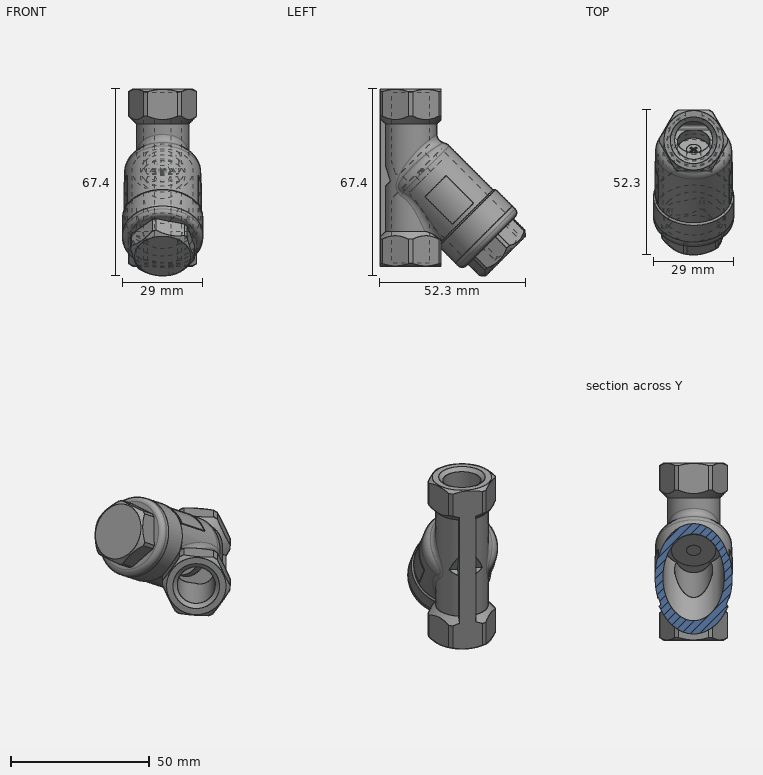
import cadquery as cq
import math

PIPE_LENGTH = 64.0
PIPE_RADIUS = 9.5
NUT_HEIGHT = 12.6
NUT_FLATS = 22.0
NUT_CORNER_RADIUS = 12.25
NUT_FACE_RADIUS = 10.7
NUT_FACE_CHAMFER_HEIGHT = 1.0
BORE_RADIUS = 6.85
BORE_MOUTH_RADIUS = 8.4
BORE_MOUTH_DEPTH = 1.3

RIB_WIDTH = 6.0
RIB_OVERLAP = 2.0
RECESS_BOTTOM_Y = 7.3
RECESS_BOTTOM_Z = -1.3
RECESS_RISE = 3.2
RECESS_OUTER_Y = 12.0

BRANCH_CROSSING_Z = 5.9
BRANCH_RADIUS = 13.75
BRANCH_START = 1.4
BRANCH_NOSE_FILLET = 4.5
JUNCTION_FILLET = 3.0
COLLAR_START = 28.25
COLLAR_CHAMFER_LENGTH = 0.6
COLLAR_RADIUS = 14.5
CAP_START = 37.3
CAVITY_RADIUS = 11.0

PAD_LENGTH = 14.0
PAD_WIDTH = 10.75
PAD_CENTRE = 19.7
PAD_RADIUS = 14.0

SEAT_FACE = 0.47
SEAT_RADIUS = 5.83
SEAT_DEPTH = 4.2
SEAT_EDGE_Y = 3.75
LEDGE_END_Y = 5.3
LEDGE_ANGLE = 22.5
CHAMBER_FILLET = 1.0

DISC_RADIUS = 8.0
DISC_THICKNESS = 3.0
SCREW_RADIUS = 2.6
CROSS_LENGTH = 3.0
CROSS_WIDTH = 0.6
CROSS_DEPTH = 1.0
CROSS_ANGLES = (45, 135)

CAP_SHOULDER = 40.8
CAP_FILLET = 2.0
CAP_END = 48.32
CAP_HEX_FLATS = 21.1
CAP_HEX_CORNER_RADIUS = 11.8
CAP_HEX_FACE_RADIUS = 10.1
CAP_HEX_TURN = 45.0

HALF_LENGTH = PIPE_LENGTH / 2
NUT_LOWER_SLOPE = NUT_CORNER_RADIUS - PIPE_RADIUS
DISC_START = SEAT_FACE + SEAT_DEPTH
FAR = 60.0

INNER_END = "<(0,-1,-1)"
OUTER_END = ">(0,-1,-1)"


def branch_plane(distance=0.0):
    """Plane square to the branch axis; X stays X and Y points up and outward."""
    drop = distance / math.sqrt(2)
    origin = (0, -drop, BRANCH_CROSSING_Z - drop)
    return cq.Plane(origin=origin, xDir=(1, 0, 0), normal=(0, -1, -1))


def branch_cylinder(radius, start, end):
    return cq.Workplane(branch_plane(start)).circle(radius).extrude(end - start)


def revolved(points, plane):
    """Turn a (radius, height) outline around the plane's normal."""
    profile_plane = cq.Plane(origin=plane.origin, xDir=plane.xDir, normal=-plane.yDir)
    return cq.Workplane(profile_plane).polyline(points).close().revolve(360, (0, 0), (0, 1))


def side_prism(points):
    """Extrude a closed (y, z) outline right across the valve along X."""
    return cq.Workplane("YZ", origin=(-FAR, 0, 0)).polyline(points).close().extrude(2 * FAR)


def hexagon(plane, flats, height):
    return cq.Workplane(plane).polygon(6, flats / math.cos(math.pi / 6)).extrude(height)


def end_nut():
    """Upper hexagon of the pipe: shallow outer chamfer, 45 degree lower chamfer."""
    plane = cq.Plane.XY(origin=(0, 0, HALF_LENGTH - NUT_HEIGHT))
    envelope = revolved(
        [
            (0, 0),
            (PIPE_RADIUS, 0),
            (NUT_CORNER_RADIUS, NUT_LOWER_SLOPE),
            (NUT_CORNER_RADIUS, NUT_HEIGHT - NUT_FACE_CHAMFER_HEIGHT),
            (NUT_FACE_RADIUS, NUT_HEIGHT),
            (0, NUT_HEIGHT),
        ],
        plane,
    )
    return hexagon(plane, NUT_FLATS, NUT_HEIGHT).intersect(envelope)


def bore():
    """Upper half of the pipe bore with its conical mouth."""
    return revolved(
        [
            (0, -HALF_LENGTH),
            (BORE_RADIUS, -HALF_LENGTH),
            (BORE_RADIUS, HALF_LENGTH - BORE_MOUTH_DEPTH),
            (BORE_MOUTH_RADIUS, HALF_LENGTH),
            (0, HALF_LENGTH),
        ],
        cq.Plane.XY(),
    )


def back_recess():
    """V-shaped recess across the back of the pipe; its lower side is square to the branch axis."""
    reach = RECESS_OUTER_Y - RECESS_BOTTOM_Y
    return side_prism(
        [
            (RECESS_BOTTOM_Y, RECESS_BOTTOM_Z),
            (RECESS_OUTER_Y, RECESS_BOTTOM_Z - reach),
            (RECESS_OUTER_Y, RECESS_BOTTOM_Z + reach * RECESS_RISE),
        ]
    )


def back_rib():
    height = PIPE_LENGTH - 2 * (NUT_HEIGHT - RIB_OVERLAP)
    depth = NUT_FLATS / 2 - BORE_RADIUS
    return cq.Workplane("XY").box(RIB_WIDTH, depth, height).translate((0, BORE_RADIUS + depth / 2, 0))


def branch_body():
    body = branch_cylinder(BRANCH_RADIUS, BRANCH_START, CAP_START)
    return body.faces(INNER_END).edges().fillet(BRANCH_NOSE_FILLET)


def collar():
    length = CAP_START - COLLAR_START
    return revolved(
        [
            (0, 0),
            (BRANCH_RADIUS, 0),
            (COLLAR_RADIUS, COLLAR_CHAMFER_LENGTH),
            (COLLAR_RADIUS, length),
            (0, length),
        ],
        branch_plane(COLLAR_START),
    )


def label_pads():
    """Thin raised pads on the two flanks of the branch, curved with it."""
    pad_start = PAD_CENTRE - PAD_LENGTH / 2
    block = cq.Workplane(branch_plane(pad_start)).rect(FAR, PAD_WIDTH).extrude(PAD_LENGTH)
    return branch_cylinder(PAD_RADIUS, pad_start, pad_start + PAD_LENGTH).intersect(block)


def inlet_chamber():
    """Upper bore, closed below by the sloping seat face, a ledge and a steep back wall."""
    seat_offset = BRANCH_CROSSING_Z - SEAT_FACE * math.sqrt(2)
    seat_edge_z = seat_offset - SEAT_EDGE_Y
    ledge_z = seat_edge_z - (LEDGE_END_Y - SEAT_EDGE_Y) * math.tan(math.radians(LEDGE_ANGLE))
    wall_top_y = LEDGE_END_Y + (HALF_LENGTH - ledge_z) / RECESS_RISE
    room = side_prism(
        [
            (-BORE_MOUTH_RADIUS, seat_offset + BORE_MOUTH_RADIUS),
            (SEAT_EDGE_Y, seat_edge_z),
            (LEDGE_END_Y, ledge_z),
            (wall_top_y, HALF_LENGTH),
            (-BORE_MOUTH_RADIUS, HALF_LENGTH),
        ]
    )
    corner = cq.selectors.NearestToPointSelector((0, LEDGE_END_Y, ledge_z))
    return bore().intersect(room.edges(corner).fillet(CHAMBER_FILLET))


def outlet_bore():
    """Lower bore, reaching up to the level of the valve disc."""
    below_seat = cq.Workplane(branch_plane(DISC_START)).rect(2 * FAR, 2 * FAR).extrude(FAR)
    return bore().mirror("XY").intersect(below_seat)


def pipe_with_branch():
    """Pipe and branch with a rounded junction that stops inside the lower nut."""
    pipe = cq.Workplane("XY").circle(PIPE_RADIUS).extrude(HALF_LENGTH, both=True)
    casting = pipe.rotate((0, 0, 0), (0, 0, 1), 90).union(branch_body())
    junction_curves = casting.edges(cq.selectors.TypeSelector("BSPLINE"))
    casting = junction_curves.fillet(JUNCTION_FILLET)
    trim_level = NUT_HEIGHT - NUT_LOWER_SLOPE - HALF_LENGTH
    below_trim = cq.Workplane("XY", origin=(0, 0, trim_level)).rect(2 * FAR, 2 * FAR).extrude(-FAR)
    return casting.cut(below_trim.cut(branch_body()))


def make_housing():
    casting = pipe_with_branch().cut(back_recess())
    for part in (back_rib(), end_nut(), end_nut().mirror("XY"), collar(), label_pads()):
        casting = casting.union(part)
    for hollow in (
        inlet_chamber(),
        outlet_bore(),
        branch_cylinder(SEAT_RADIUS, SEAT_FACE, DISC_START),
        branch_cylinder(CAVITY_RADIUS, DISC_START, CAP_START),
    ):
        casting = casting.cut(hollow)
    return casting


def make_disc():
    end = DISC_START + DISC_THICKNESS
    return branch_cylinder(DISC_RADIUS, DISC_START, end).cut(branch_cylinder(SCREW_RADIUS, DISC_START, end))


def make_screw():
    screw = branch_cylinder(SCREW_RADIUS, DISC_START, DISC_START + DISC_THICKNESS)
    for angle in CROSS_ANGLES:
        slot = cq.Workplane(branch_plane(DISC_START)).transformed(rotate=(0, 0, angle))
        screw = screw.cut(slot.rect(CROSS_LENGTH, CROSS_WIDTH).extrude(CROSS_DEPTH))
    return screw


def make_cap():
    flange = branch_cylinder(COLLAR_RADIUS, CAP_START, CAP_SHOULDER)
    flange = flange.faces(OUTER_END).edges().fillet(CAP_FILLET)
    plane = branch_plane(CAP_SHOULDER)
    height = CAP_END - CAP_SHOULDER
    chamfer = CAP_HEX_CORNER_RADIUS - CAP_HEX_FACE_RADIUS
    envelope = revolved(
        [
            (0, 0),
            (CAP_HEX_CORNER_RADIUS, 0),
            (CAP_HEX_CORNER_RADIUS, height - chamfer),
            (CAP_HEX_FACE_RADIUS, height),
            (0, height),
        ],
        plane,
    )
    grip = hexagon(plane.rotated((0, 0, CAP_HEX_TURN)), CAP_HEX_FLATS, height).intersect(envelope)
    return flange.union(grip)


housing = make_housing()
disc = make_disc()
screw = make_screw()
cap = make_cap()
result = cq.Compound.makeCompound([housing.val(), disc.val(), screw.val(), cap.val()])